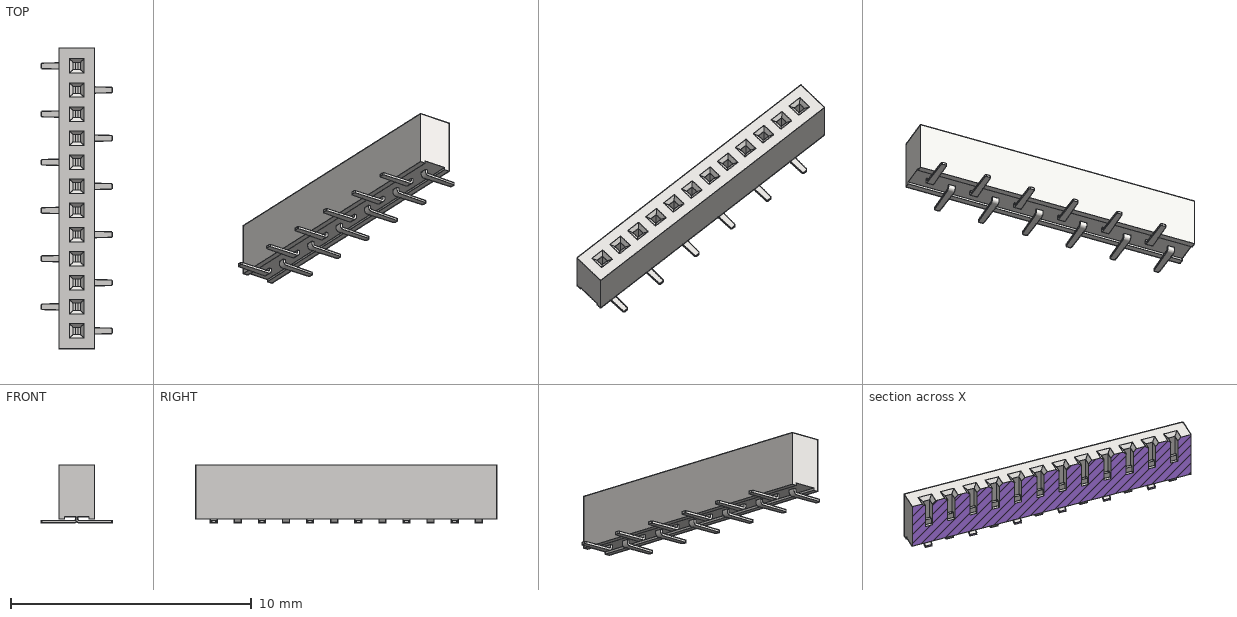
import cadquery as cq

contact_count = 12
pitch = 1.0
contact_row_length = (contact_count - 1) * pitch

housing_length = 12.5
housing_width = 1.48
housing_height = 2.25
housing_bottom = 0.15
housing_top = housing_bottom + housing_height
foot_width = 0.24
foot_height = 0.1

funnel_width = 0.6
funnel_depth = 0.15
socket_width = 0.3
socket_depth = 1.25
socket_floor = housing_top - socket_depth

span_across_legs = 2.95
leg_reach = span_across_legs / 2
strip_width = 0.3
strip_thickness = 0.1
inner_bend_radius = 0.05
outer_bend_radius = inner_bend_radius + strip_thickness
tip_width = 0.24
tip_chamfer = 0.04
blade_height = 0.25
blade_top = socket_floor + blade_height


def make_housing():
    """Long block with a channel underneath that leaves two rails as feet."""
    block = (
        cq.Workplane("XY")
        .workplane(offset=housing_bottom)
        .rect(housing_width, housing_length)
        .extrude(housing_height)
    )
    channel = (
        cq.Workplane("XY")
        .workplane(offset=housing_bottom)
        .rect(housing_width - 2 * foot_width, housing_length)
        .extrude(foot_height)
    )
    return block.cut(channel)


def make_opening(y):
    """Square lead-in funnel that narrows into a blind square socket."""
    funnel = (
        cq.Workplane("XY", origin=(0, y, housing_top))
        .rect(funnel_width, funnel_width)
        .workplane(offset=-funnel_depth)
        .rect(socket_width, socket_width)
        .loft(ruled=True)
    )
    socket = (
        cq.Workplane("XY", origin=(0, y, socket_floor))
        .rect(socket_width, socket_width)
        .extrude(socket_depth - funnel_depth)
    )
    return funnel.union(socket)


def make_strip_outline():
    """Plan outline of the strip: full width at the bend, tapering to the leg tip."""
    return (
        cq.Workplane("XY")
        .moveTo(-strip_thickness / 2, -strip_width / 2)
        .lineTo(strip_thickness, -strip_width / 2)
        .lineTo(leg_reach, -tip_width / 2)
        .lineTo(leg_reach, tip_width / 2)
        .lineTo(strip_thickness, strip_width / 2)
        .lineTo(-strip_thickness / 2, strip_width / 2)
        .close()
        .extrude(blade_top)
    )


def make_contact(y, side):
    """L-shaped strip: an upright blade and a foot reaching to side +1 (+X) or -1 (-X)."""
    half_thickness = strip_thickness / 2
    contact = (
        cq.Workplane("XZ")
        .moveTo(-half_thickness, blade_top)
        .lineTo(-half_thickness, 0)
        .lineTo(leg_reach, 0)
        .lineTo(leg_reach, strip_thickness)
        .lineTo(half_thickness, strip_thickness)
        .lineTo(half_thickness, blade_top)
        .close()
        .extrude(strip_width / 2, both=True)
    )
    outer_corner = cq.selectors.NearestToPointSelector((-half_thickness, 0, 0))
    inner_corner = cq.selectors.NearestToPointSelector((half_thickness, 0, strip_thickness))
    contact = contact.edges("|Y").edges(outer_corner).fillet(outer_bend_radius)
    contact = contact.edges("|Y").edges(inner_corner).fillet(inner_bend_radius)
    contact = contact.intersect(make_strip_outline())
    contact = contact.faces(">X").edges("|Z").chamfer(tip_chamfer)
    if side < 0:
        contact = contact.rotate((0, 0, 0), (0, 0, 1), 180)
    return contact.translate((0, y, 0))


result = make_housing()
for index in range(contact_count):
    contact_y = index * pitch - contact_row_length / 2
    leg_side = 1 if index % 2 == 0 else -1
    result = result.cut(make_opening(contact_y))
    result = result.union(make_contact(contact_y, leg_side))